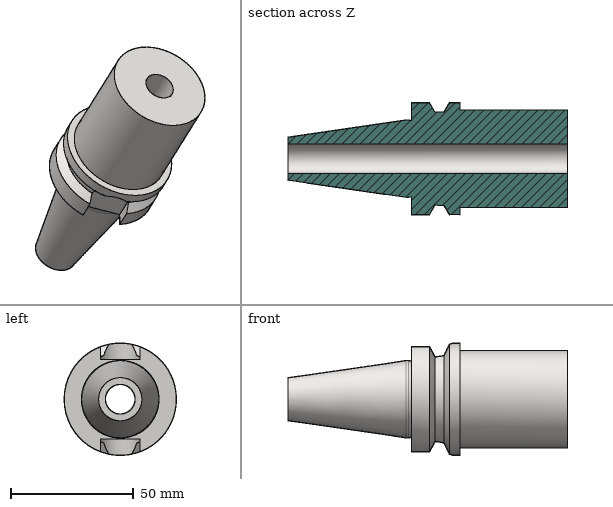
import cadquery as cq
import math

total_length = 114.3
bore_diameter = 12.0
body_radius = 40.0 / 2

taper_ratio = 7 / 24
taper_length = 48.3
taper_radius = 31.8 / 2
small_end_radius = taper_radius - taper_length * taper_ratio / 2
gauge_land_length = 1.0
neck_radius = 15.7

flange_start = 50.4
flange_end = 70.4
flange_radius = 46.0 / 2
groove_floor_radius = 38.3 / 2
groove_floor_start = 60.1
groove_floor_end = 63.8
groove_wall_angle = 30.0
groove_wall_run = (flange_radius - groove_floor_radius) * math.tan(math.radians(groove_wall_angle))

keyway_width = 16.1
keyway_floor_height = 16.2
keyway_end = 67.4
keyway_round_center = keyway_end - keyway_width / 2


def make_holder_body():
    """Revolve the outer half profile about the X axis."""
    land_end = taper_length + gauge_land_length
    profile = [
        (0, 0),
        (0, small_end_radius),
        (taper_length, taper_radius),
        (land_end, taper_radius),
        (flange_start, neck_radius),
        (flange_start, flange_radius),
        (groove_floor_start - groove_wall_run, flange_radius),
        (groove_floor_start, groove_floor_radius),
        (groove_floor_end, groove_floor_radius),
        (groove_floor_end + groove_wall_run, flange_radius),
        (flange_end, flange_radius),
        (flange_end, body_radius),
        (total_length, body_radius),
        (total_length, 0),
    ]
    return cq.Workplane("XY").polyline(profile).close().revolve(360, (0, 0, 0), (1, 0, 0))


def make_keyway(side):
    """Cutter for one keyway, on the +Z (side = 1) or -Z (side = -1) of the flange."""
    half_width = keyway_width / 2
    return (
        cq.Workplane("XY", origin=(0, 0, side * keyway_floor_height))
        .moveTo(flange_start, -half_width)
        .lineTo(keyway_round_center, -half_width)
        .threePointArc((keyway_end, 0), (keyway_round_center, half_width))
        .lineTo(flange_start, half_width)
        .close()
        .extrude(side * flange_radius)
    )


def make_bore():
    """Cutter for the straight bore through the whole holder."""
    return cq.Workplane("YZ").circle(bore_diameter / 2).extrude(total_length)


result = make_holder_body().cut(make_bore())
for side in (1, -1):
    result = result.cut(make_keyway(side))